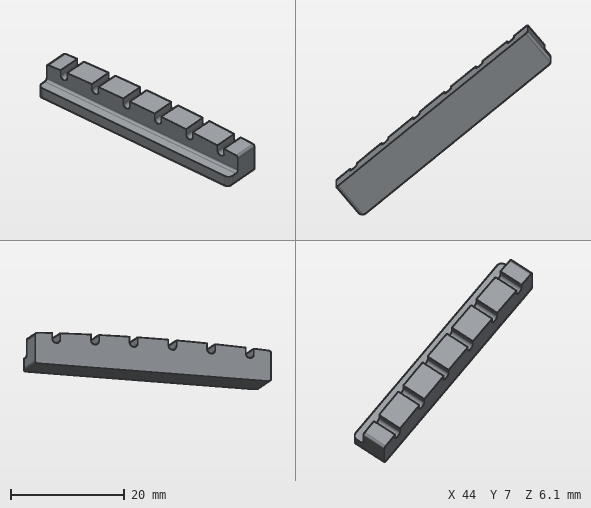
import cadquery as cq
import math

length = 44.0
depth = 7.0
height = 6.1

body_depth = 4.6
ledge_height = 2.1
ledge_depth = depth - body_depth
inner_fillet = 0.5

crown_radius = 406.55
end_fillet = 0.5
ledge_corner_radius = 1.0

slot_count = 6
slot_pitch = 7.2
slot_width = 1.5
slot_depth = 1.8


def crown_height(x):
    """Height of the arched top at a distance x from the middle."""
    return height - crown_radius + math.sqrt(crown_radius**2 - x**2)


def crowned_block():
    """Full-depth block with an arched top and rounded end edges."""
    half_length = length / 2
    end_height = crown_height(half_length)
    block = (
        cq.Workplane("XZ")
        .moveTo(-half_length, 0)
        .lineTo(half_length, 0)
        .lineTo(half_length, end_height)
        .threePointArc((0, height), (-half_length, end_height))
        .close()
        .extrude(-depth)
    )
    return block.edges("|Y").fillet(end_fillet)


def stepped_envelope():
    """L-shaped prism with a filleted inner corner and rounded front corners."""
    envelope = (
        cq.Workplane("YZ")
        .polyline([
            (0, 0),
            (depth, 0),
            (depth, height),
            (ledge_depth, height),
            (ledge_depth, ledge_height),
            (0, ledge_height),
        ])
        .close()
        .extrude(length / 2, both=True)
    )
    inner_corner = cq.NearestToPointSelector((0, ledge_depth, ledge_height))
    envelope = envelope.edges("|X").edges(inner_corner).fillet(inner_fillet)
    return envelope.faces("<Y").edges("|Z").fillet(ledge_corner_radius)


def string_slot(x):
    """Round-bottomed cutter whose depth follows the arched top."""
    slot_radius = slot_width / 2
    floor_center = crown_height(x) - slot_depth + slot_radius
    round_floor = (
        cq.Workplane("XZ")
        .center(x, floor_center)
        .circle(slot_radius)
        .extrude(-depth)
    )
    open_top = cq.Workplane("XY").box(
        slot_width, depth, slot_depth, centered=(True, False, False)
    ).translate((x, 0, floor_center))
    return round_floor.union(open_top)


result = crowned_block().intersect(stepped_envelope())
for index in range(slot_count):
    slot_x = (index - (slot_count - 1) / 2) * slot_pitch
    result = result.cut(string_slot(slot_x))